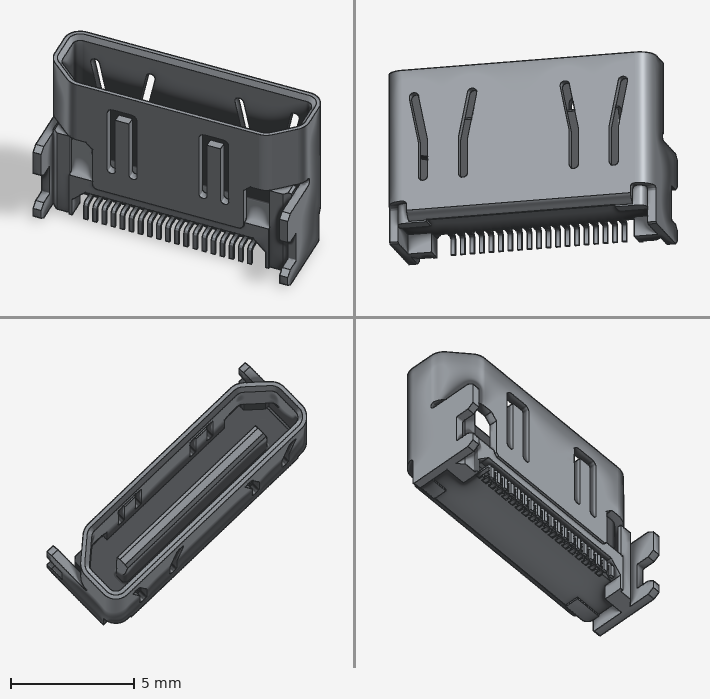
import cadquery as cq
import math

WIDTH = 11.2
HEIGHT = 7.1
DEPTH = 4.0
HALF_WIDTH = WIDTH / 2
SHEET = 0.36
SELECT_MARGIN = 0.01
OVERLAP = 0.11

SHELL_DEPTH = 3.2
CORNER_RADIUS = 0.7
SLANT_RADIUS = 0.76
SLANT_START_DEPTH = 2.06
SLANT_END_X = 4.3
RIM_CHAMFER = 0.19
RIM_ANGLE = 45.0
SHELL_CORNER_BOTTOM = 1.56

OPENING_TOP = 4.17
OPENING_DEPTH = 1.69
PANEL_HALF_WIDTH = 3.32
PANEL_BOTTOM = 1.81
PANEL_TOP_CHAMFER = 0.3
PANEL_BOTTOM_CHAMFER = 0.13

BACK_PANEL_HALF_WIDTH = 4.7
BACK_PANEL_BOTTOM = 0.78
BACK_NOTCH_RADIUS = 0.18
BACK_CURL_HEIGHT = 0.37
BACK_CURL_MIDDLE = (0.13, 0.95)

LEG_TOP = 3.81
OPENING_RADIUS = (OPENING_TOP - LEG_TOP) / 2
LEG_UPPER_BOTTOM = 2.28
LEG_LOWER_TOP = 0.82
LEG_NOTCH_DEPTH = 3.1
LEG_TIP_RUN = 0.28
LEG_TIP_RISE = 0.2
LEG_CORNER = 0.07

WINDOW_CENTER_X = 2.02
WINDOW_WIDTH = 1.31
WINDOW_TOP = 6.28
WINDOW_BOTTOM = 2.88
WINDOW_RADIUS = 0.27
WINDOW_END_FLAT = 0.01
FINGER_WIDTH = 0.6
FINGER_TOP = 5.77

BACK_SLOT_WIDTH = 0.39
BACK_SLOT_PAIR_X = 3.17
BACK_SLOT_TOP_OFFSET = 1.22
BACK_SLOT_BOTTOM_OFFSET = 0.84
BACK_SLOT_TOP = 5.91
BACK_SLOT_BEND = 4.03
BACK_SLOT_BOTTOM = 2.56

FLOOR_Z = 2.1
FLOOR_EDGE_CHAMFER = 0.11
BODY_BOTTOM = 0.82
BODY_HALF_WIDTH = HALF_WIDTH - SHEET
WALL_FRONT = 3.1
WALL_BACK = 2.58
WALL_HALF_WIDTH = 4.39
RECESS_HALF_WIDTH = 4.26
RECESS_TOP = 1.39
RECESS_TOP_HALF_WIDTH = 3.68
RECESS_BEVEL = 0.12
POST_TOP = 4.07
POST_BACK = 2.25
POST_FRONT = 3.0
POST_CHAMFER = 0.27
POST_EDGE_CHAMFER = 0.11
POST_SHELL_INSET = 0.22
FOOT_BOTTOM = 0.72
FOOT_INNER_X = 3.95
FOOT_FRONT = 1.01

TONGUE_HALF_WIDTH = 4.05
TONGUE_BACK = 1.03
TONGUE_FRONT = 1.65
TONGUE_TOP = 5.24
TONGUE_EDGE_RADIUS = 0.17
TONGUE_TAPER_START = 3.61
TONGUE_TAPER_RUN = 0.16
TONGUE_CHAMFER_RUN = 0.16
TONGUE_CHAMFER_DROP = 0.12
TONGUE_BASE_RADIUS = 0.1

PIN_COUNT = 19
PIN_ROW_LENGTH = 7.2
PIN_PITCH = PIN_ROW_LENGTH / (PIN_COUNT - 1)
PIN_WIDTH = 0.18
PIN_THICKNESS = 0.11
PIN_FRONT = 3.25
PIN_BACK = 2.24
PIN_TOP = 0.94
PIN_BOTTOM = 0.1
PIN_BEND_RADIUS = 0.22
PIN_NOTCH_WIDTH = 0.27
PIN_NOTCH_TOP = 1.0
PIN_NOTCH_BACK = 2.41


def block(x0, x1, depth0, depth1, z0, z1):
    """Box between two X, two depth and two Z limits."""
    body = cq.Workplane("XY").box(x1 - x0, depth1 - depth0, z1 - z0, centered=False)
    return body.translate((x0, -depth1, z0))


def front_prism(points, depth0, depth1):
    """Prism from an (x, z) outline, running from depth0 to depth1."""
    return cq.Workplane("XZ").polyline(points).close().extrude(depth1 - depth0).translate((0, -depth0, 0))


def side_prism(points, x0, x1):
    """Prism from a (depth, z) outline, running from x0 to x1."""
    outline = [(-depth, z) for depth, z in points]
    return cq.Workplane("YZ").polyline(outline).close().extrude(x1 - x0).translate((x0, 0, 0))


def both_sides(body):
    return body.union(body.mirror("YZ"))


def shell_outline(inset, z):
    """Pending D-shaped wire at height z, inset from the outside of the shell."""
    points = [
        (-HALF_WIDTH, 0),
        (HALF_WIDTH, 0),
        (HALF_WIDTH, -SLANT_START_DEPTH),
        (SLANT_END_X, -SHELL_DEPTH),
        (-SLANT_END_X, -SHELL_DEPTH),
        (-HALF_WIDTH, -SLANT_START_DEPTH),
    ]
    blank = cq.Workplane("XY").polyline(points).close().extrude(HEIGHT)
    blank = blank.edges("|Z and >Y").fillet(CORNER_RADIUS)
    front_corners = cq.selectors.BoxSelector(
        (-HALF_WIDTH - OVERLAP, -DEPTH, 0),
        (HALF_WIDTH + OVERLAP, OVERLAP - SLANT_START_DEPTH, HEIGHT),
    )
    blank = blank.edges("|Z").edges(front_corners).fillet(SLANT_RADIUS)
    wire = blank.faces("<Z").wires().val().translate(cq.Vector(0, 0, z))
    outline = cq.Workplane("XY", origin=(0, 0, z)).add(wire).toPending()
    return outline.offset2D(-inset) if inset else outline


def shell_prism(inset, z0, z1):
    """D-shaped prism between two heights, inset from the outside of the shell."""
    return shell_outline(inset, z0).extrude(z1 - z0)


def front_openings():
    """Space removed below the front half of the shell, leaving the front panel."""
    space = block(-HALF_WIDTH - OVERLAP, HALF_WIDTH + OVERLAP, OPENING_DEPTH, DEPTH, 0, OPENING_TOP)
    space = space.edges("|X and >Y and >Z").fillet(OPENING_RADIUS)
    half_panel = [
        (PANEL_HALF_WIDTH - PANEL_BOTTOM_CHAMFER, PANEL_BOTTOM),
        (PANEL_HALF_WIDTH, PANEL_BOTTOM + PANEL_BOTTOM_CHAMFER),
        (PANEL_HALF_WIDTH, OPENING_TOP - PANEL_TOP_CHAMFER),
        (PANEL_HALF_WIDTH + PANEL_TOP_CHAMFER, OPENING_TOP),
    ]
    panel = half_panel + [(-x, z) for x, z in reversed(half_panel)]
    return space.cut(front_prism(panel, OPENING_DEPTH, DEPTH))


def front_window():
    """U-shaped window around one front spring finger, centred on X = 0."""
    leg_width = (WINDOW_WIDTH - FINGER_WIDTH) / 2
    depth0 = SHELL_DEPTH - SHEET - OVERLAP
    depth1 = SHELL_DEPTH + OVERLAP
    window = block(-WINDOW_WIDTH / 2, WINDOW_WIDTH / 2, depth0, depth1, WINDOW_BOTTOM, WINDOW_TOP)
    window = window.edges("|Y and >Z").fillet(WINDOW_RADIUS)
    finger = block(-FINGER_WIDTH / 2, FINGER_WIDTH / 2, depth0, depth1, WINDOW_BOTTOM, FINGER_TOP)
    return window.cut(finger).edges("|Y and <Z").fillet((leg_width - WINDOW_END_FLAT) / 2)


def back_slot_stroke(start, end):
    """Round-ended slot through the back wall between two (x, z) points."""
    run, rise = end[0] - start[0], end[1] - start[1]
    length = math.hypot(run, rise) + BACK_SLOT_WIDTH
    angle = math.degrees(math.atan2(rise, run))
    stroke = cq.Workplane("XZ").slot2D(length, BACK_SLOT_WIDTH, angle).extrude(SHEET)
    return stroke.translate(((start[0] + end[0]) / 2, 0, (start[1] + end[1]) / 2))


def back_slots():
    slots = cq.Workplane("XY")
    for side in (-1, 1):
        top = (BACK_SLOT_PAIR_X + side * BACK_SLOT_TOP_OFFSET, BACK_SLOT_TOP)
        bend = (BACK_SLOT_PAIR_X + side * BACK_SLOT_BOTTOM_OFFSET, BACK_SLOT_BEND)
        bottom = (bend[0], BACK_SLOT_BOTTOM)
        slots = slots.add(back_slot_stroke(top, bend).union(back_slot_stroke(bend, bottom)))
    return both_sides(slots.combine())


def back_notch():
    """Right-hand corner notch between the back panel and the side leg."""
    notch = block(
        BACK_PANEL_HALF_WIDTH, HALF_WIDTH + OVERLAP, -OVERLAP, CORNER_RADIUS, 0, SHELL_CORNER_BOTTOM
    )
    return notch.edges(">Z and (<X or <Y)").fillet(BACK_NOTCH_RADIUS)


def back_curl():
    """Material removed to round the bottom edge of the back panel."""
    curl_top = BACK_PANEL_BOTTOM + BACK_CURL_HEIGHT
    middle_depth, middle_z = BACK_CURL_MIDDLE
    return (
        cq.Workplane("YZ")
        .moveTo(0, curl_top)
        .threePointArc((-middle_depth, middle_z), (-SHEET, BACK_PANEL_BOTTOM))
        .lineTo(OVERLAP, BACK_PANEL_BOTTOM)
        .lineTo(OVERLAP, curl_top)
        .close()
        .extrude(HALF_WIDTH, both=True)
    )


def leg():
    """Flat right-hand side plate with two solder legs."""
    tip = DEPTH - LEG_TIP_RUN
    points = [
        (CORNER_RADIUS + LEG_CORNER, 0),
        (tip, 0),
        (DEPTH, LEG_TIP_RISE),
        (DEPTH, LEG_LOWER_TOP - LEG_TIP_RISE),
        (tip, LEG_LOWER_TOP),
        (LEG_NOTCH_DEPTH, LEG_LOWER_TOP),
        (LEG_NOTCH_DEPTH, LEG_UPPER_BOTTOM),
        (tip, LEG_UPPER_BOTTOM),
        (DEPTH, LEG_UPPER_BOTTOM + LEG_TIP_RISE),
        (DEPTH, LEG_TOP - LEG_TIP_RISE),
        (tip, LEG_TOP),
        (OPENING_DEPTH, LEG_TOP),
        (OPENING_DEPTH, OPENING_TOP),
        (CORNER_RADIUS, OPENING_TOP),
        (CORNER_RADIUS, LEG_CORNER),
    ]
    plate = side_prism(points, BODY_HALF_WIDTH, HALF_WIDTH)

    def inner_corner(depth, z):
        return cq.selectors.NearestToPointSelector((HALF_WIDTH - SHEET / 2, -depth, z))

    plate = plate.edges(inner_corner(OPENING_DEPTH, LEG_TOP)).fillet(OPENING_RADIUS)
    for z in (LEG_LOWER_TOP, LEG_UPPER_BOTTOM):
        plate = plate.edges(inner_corner(LEG_NOTCH_DEPTH, z)).fillet(LEG_CORNER)
    return plate


def make_shell():
    shell = shell_prism(0, BACK_PANEL_BOTTOM, HEIGHT)
    shell = shell.cut(shell_prism(SHEET, 0, HEIGHT))
    lead_in = shell_outline(SHEET, HEIGHT - RIM_CHAMFER).extrude(RIM_CHAMFER, taper=-RIM_ANGLE)
    shell = shell.cut(lead_in).cut(front_openings())
    shell = shell.cut(back_curl()).cut(both_sides(back_notch())).cut(back_slots())
    for x in (-WINDOW_CENTER_X, WINDOW_CENTER_X):
        shell = shell.cut(front_window().translate((x, 0, 0)))
    return shell.union(both_sides(leg()))


def post():
    """Right-hand insulator post standing behind the side leg, its inner face following the shell."""
    body = block(WALL_HALF_WIDTH, BODY_HALF_WIDTH, POST_BACK, POST_FRONT, 0, POST_TOP)
    body = body.edges("|Z and >X and <Y").chamfer(POST_CHAMFER)
    body = body.faces(">X").edges(">Z").chamfer(POST_EDGE_CHAMFER)
    return body.cut(shell_prism(POST_SHELL_INSET, FLOOR_Z, HEIGHT))


def front_wall():
    """Front wall of the insulator with the bevelled recess over the terminals."""
    wall = block(-WALL_HALF_WIDTH, WALL_HALF_WIDTH, POST_BACK, WALL_FRONT, 0, FLOOR_Z)
    wall = wall.cut(block(-RECESS_HALF_WIDTH, RECESS_HALF_WIDTH, 0, DEPTH, 0, BODY_BOTTOM))
    recess = [
        (-RECESS_HALF_WIDTH, BODY_BOTTOM),
        (RECESS_HALF_WIDTH, BODY_BOTTOM),
        (RECESS_TOP_HALF_WIDTH, RECESS_TOP),
        (-RECESS_TOP_HALF_WIDTH, RECESS_TOP),
    ]
    pocket = front_prism(recess, WALL_BACK, DEPTH)
    pocket = pocket.edges("|X and >Y and >Z").chamfer(RECESS_BEVEL)
    return wall.cut(pocket)


def base():
    """Insulator base filling the shell below the floor."""
    body = block(-BODY_HALF_WIDTH, BODY_HALF_WIDTH, SHEET, POST_BACK, FOOT_BOTTOM, FLOOR_Z)
    body = body.edges("|Z and >Y").fillet(CORNER_RADIUS - SHEET)
    body = body.faces(">Z").edges("not <Y").chamfer(FLOOR_EDGE_CHAMFER)
    body = body.cut(block(-FOOT_INNER_X, FOOT_INNER_X, 0, DEPTH, 0, BODY_BOTTOM))
    return body.cut(block(-HALF_WIDTH, HALF_WIDTH, FOOT_FRONT, DEPTH, 0, BODY_BOTTOM))


def contact_tongue():
    body = block(-TONGUE_HALF_WIDTH, TONGUE_HALF_WIDTH, TONGUE_BACK, TONGUE_FRONT, FLOOR_Z, TONGUE_TOP)
    body = body.edges("|Z").fillet(TONGUE_EDGE_RADIUS)
    tip_half_width = TONGUE_HALF_WIDTH - TONGUE_TAPER_RUN
    tapered_ends = [
        (-TONGUE_HALF_WIDTH, FLOOR_Z),
        (TONGUE_HALF_WIDTH, FLOOR_Z),
        (TONGUE_HALF_WIDTH, TONGUE_TAPER_START),
        (tip_half_width, TONGUE_TOP),
        (-tip_half_width, TONGUE_TOP),
        (-TONGUE_HALF_WIDTH, TONGUE_TAPER_START),
    ]
    chamfered_tip = [
        (TONGUE_BACK, FLOOR_Z),
        (TONGUE_FRONT, FLOOR_Z),
        (TONGUE_FRONT, TONGUE_TOP - TONGUE_CHAMFER_DROP),
        (TONGUE_FRONT - TONGUE_CHAMFER_RUN, TONGUE_TOP),
        (TONGUE_BACK + TONGUE_CHAMFER_RUN, TONGUE_TOP),
        (TONGUE_BACK, TONGUE_TOP - TONGUE_CHAMFER_DROP),
    ]
    body = body.intersect(front_prism(tapered_ends, TONGUE_BACK, TONGUE_FRONT))
    return body.intersect(side_prism(chamfered_tip, -TONGUE_HALF_WIDTH, TONGUE_HALF_WIDTH))


def pin():
    """Terminal that leaves the recess and bends down, centred on X = 0."""
    points = [
        (PIN_BACK, PIN_TOP - PIN_THICKNESS),
        (PIN_FRONT - PIN_THICKNESS, PIN_TOP - PIN_THICKNESS),
        (PIN_FRONT - PIN_THICKNESS, PIN_BOTTOM),
        (PIN_FRONT, PIN_BOTTOM),
        (PIN_FRONT, PIN_TOP),
        (PIN_BACK, PIN_TOP),
    ]
    body = side_prism(points, -PIN_WIDTH / 2, PIN_WIDTH / 2)
    body = body.edges("|X and <Y and >Z").fillet(PIN_BEND_RADIUS)
    inside = (0, PIN_THICKNESS - PIN_FRONT, PIN_TOP - PIN_THICKNESS)
    return body.edges(cq.selectors.NearestToPointSelector(inside)).fillet(PIN_BEND_RADIUS - PIN_THICKNESS)


def make_insulator():
    tongue_foot = cq.selectors.BoxSelector(
        (-BODY_HALF_WIDTH + SHEET, -TONGUE_FRONT - SELECT_MARGIN, FLOOR_Z - SELECT_MARGIN),
        (BODY_HALF_WIDTH - SHEET, -TONGUE_BACK + SELECT_MARGIN, FLOOR_Z + SELECT_MARGIN),
        boundingbox=True,
    )
    body = base().union(contact_tongue()).edges(tongue_foot).fillet(TONGUE_BASE_RADIUS)
    body = body.union(front_wall()).union(both_sides(post()))
    pin_xs = [(i - (PIN_COUNT - 1) / 2) * PIN_PITCH for i in range(PIN_COUNT)]
    half_notch = PIN_NOTCH_WIDTH / 2
    notch = block(-half_notch, half_notch, PIN_NOTCH_BACK, WALL_BACK, BODY_BOTTOM, PIN_NOTCH_TOP)
    for x in pin_xs:
        body = body.cut(notch.translate((x, 0, 0))).union(pin().translate((x, 0, 0)))
    return body


result = make_shell().union(make_insulator())